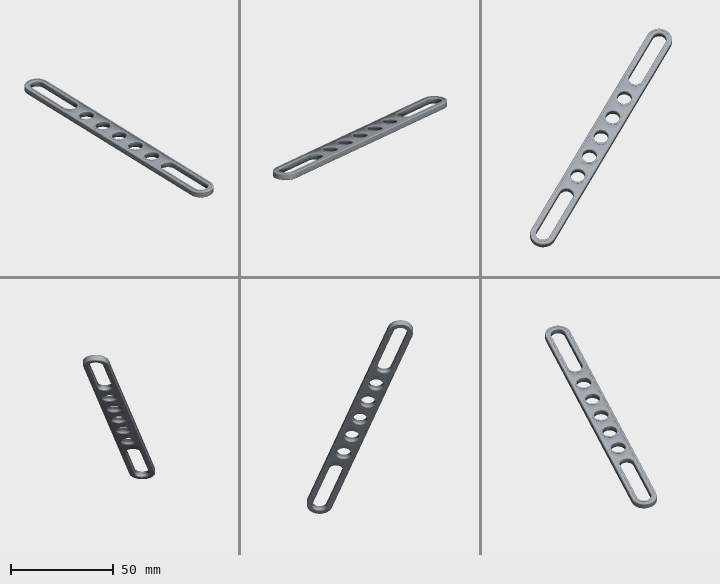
import cadquery as cq

length = 137.5
pitch_count = 11
thickness = 3.2
hole_diameter = 7.0
collar_diameter = 9.2
rim_width = 1.1
recess_depth = 0.2
edge_chamfer = 0.3
round_hole_count = 5
slot_travel_pitches = 2

pitch = length / pitch_count
width = pitch
end_center = (length - width) / 2
slot_travel = slot_travel_pitches * pitch
slot_center = end_center - slot_travel / 2
floor_height = thickness - recess_depth
slot_places = [(-slot_center, 0), (slot_center, 0)]


def rounded_bar(overall_length, bar_width, base, height, places=((0, 0),)):
    """Solid bars with full-round ends, lying along X."""
    plane = cq.Workplane("XY").workplane(offset=base)
    return plane.pushPoints(places).slot2D(overall_length, bar_width).extrude(height)


def on_all_openings(diameter, base, height):
    """Solids of one diameter around every round hole and both slots."""
    plane = cq.Workplane("XY").workplane(offset=base)
    rounds = plane.rarray(pitch, 1.4, round_hole_count, 1).circle(diameter / 2).extrude(height)
    slots = rounded_bar(slot_travel + diameter, diameter, base, height, slot_places)
    return rounds.union(slots)


plate = rounded_bar(length, width, 0, thickness)
plate = plate.cut(on_all_openings(hole_diameter, 0, thickness))
plate = plate.faces("<Z or >Z").edges().chamfer(edge_chamfer)

recess = rounded_bar(length - 2 * rim_width, width - 2 * rim_width, floor_height, recess_depth)
recess = recess.cut(on_all_openings(collar_diameter, floor_height, recess_depth))
result = plate.cut(recess)